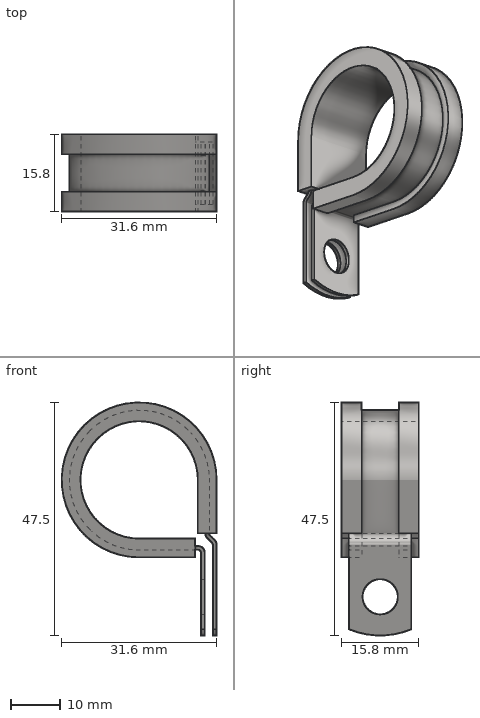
import cadquery as cq
import math

total_height = 47.45
outer_diameter = 31.55
outer_radius = outer_diameter / 2
inner_radius = 11.9
clamp_width = 15.75
upright_leg_end_z = -10.85
level_leg_end_x = 11.4

strap_thickness = 0.8
strap_outer_radius = 14.25
strap_inner_radius = strap_outer_radius - strap_thickness
groove_width = 7.6

tab_width = 12.7
tab_end_z = outer_radius - total_height
tab_end_rise = 1.3
tab_gap = 1.6
bend_inner_radius = 0.55
hole_diameter = 7.1
hole_z = -23.75

far_tab_outer_x = outer_radius
far_tab_inner_x = far_tab_outer_x - strap_thickness
near_tab_outer_x = far_tab_inner_x - tab_gap
near_tab_inner_x = near_tab_outer_x - strap_thickness


def extrude_centered(profile, width):
    """Extrude an XZ profile by the given width, centred on Y = 0."""
    return profile.extrude(width / 2, both=True)


def loop_band(small_radius, large_radius, width):
    """Three-quarter ring with one straight leg going down and one going along +X."""
    diagonal = math.sqrt(0.5)
    profile = (
        cq.Workplane("XZ")
        .moveTo(large_radius, upright_leg_end_z)
        .lineTo(large_radius, 0)
        .threePointArc((-large_radius * diagonal, large_radius * diagonal), (0, -large_radius))
        .lineTo(level_leg_end_x, -large_radius)
        .lineTo(level_leg_end_x, -small_radius)
        .lineTo(0, -small_radius)
        .threePointArc((-small_radius * diagonal, small_radius * diagonal), (small_radius, 0))
        .lineTo(small_radius, upright_leg_end_z)
        .close()
    )
    return extrude_centered(profile, width)


def cushion_loop():
    """Full-width loop with the groove cut down to the strap's outer face."""
    full_loop = loop_band(inner_radius, outer_radius, clamp_width)
    groove = loop_band(strap_outer_radius, outer_radius, groove_width)
    return full_loop.cut(groove)


def near_tab():
    """Tab leaving the level leg and turning down through a rounded right angle."""
    outer_bend_radius = bend_inner_radius + strap_thickness
    bend_x = near_tab_outer_x - outer_bend_radius
    bend_z = -strap_inner_radius - outer_bend_radius
    profile = (
        cq.Workplane("XZ")
        .moveTo(level_leg_end_x, -strap_inner_radius)
        .lineTo(bend_x, -strap_inner_radius)
        .radiusArc((near_tab_outer_x, bend_z), outer_bend_radius)
        .lineTo(near_tab_outer_x, tab_end_z)
        .lineTo(near_tab_inner_x, tab_end_z)
        .lineTo(near_tab_inner_x, bend_z)
        .radiusArc((bend_x, -strap_outer_radius), -bend_inner_radius)
        .lineTo(level_leg_end_x, -strap_outer_radius)
        .close()
    )
    return extrude_centered(profile, tab_width)


def far_tab():
    """Tab leaving the upright leg and stepping outwards through a 45 degree jog."""
    slope = math.sqrt(0.5)
    outer_bend_radius = bend_inner_radius + strap_thickness
    inner_shift = bend_inner_radius * (1 - slope)
    outer_shift = outer_bend_radius * (1 - slope)
    inner_drop = bend_inner_radius * slope
    outer_drop = outer_bend_radius * slope
    jog_run = far_tab_outer_x - strap_outer_radius
    straight_run = jog_run - inner_shift - outer_shift
    jog_start_z = upright_leg_end_z
    jog_end_z = jog_start_z - straight_run - inner_drop - outer_drop
    profile = (
        cq.Workplane("XZ")
        .moveTo(strap_inner_radius, jog_start_z)
        .lineTo(strap_outer_radius, jog_start_z)
        .radiusArc((strap_outer_radius + inner_shift, jog_start_z - inner_drop), -bend_inner_radius)
        .lineTo(far_tab_outer_x - outer_shift, jog_end_z + outer_drop)
        .radiusArc((far_tab_outer_x, jog_end_z), outer_bend_radius)
        .lineTo(far_tab_outer_x, tab_end_z)
        .lineTo(far_tab_inner_x, tab_end_z)
        .lineTo(far_tab_inner_x, jog_end_z)
        .radiusArc((far_tab_inner_x - inner_shift, jog_end_z + inner_drop), -bend_inner_radius)
        .lineTo(strap_inner_radius + outer_shift, jog_start_z - outer_drop)
        .radiusArc((strap_inner_radius, jog_start_z), outer_bend_radius)
        .close()
    )
    return extrude_centered(profile, tab_width)


def tab_outline():
    """Block along X with the curved lower end that trims both tabs."""
    half_width = tab_width / 2
    shoulder_z = tab_end_z + tab_end_rise
    return (
        cq.Workplane("YZ")
        .moveTo(-half_width, 0)
        .lineTo(-half_width, shoulder_z)
        .threePointArc((0, tab_end_z), (half_width, shoulder_z))
        .lineTo(half_width, 0)
        .close()
        .extrude(outer_radius)
    )


def bolt_hole():
    """Cylinder along X passing through both tabs."""
    return (
        cq.Workplane("YZ")
        .center(0, hole_z)
        .circle(hole_diameter / 2)
        .extrude(outer_radius)
    )


tabs = near_tab().union(far_tab()).intersect(tab_outline()).cut(bolt_hole())
result = cushion_loop().union(tabs)